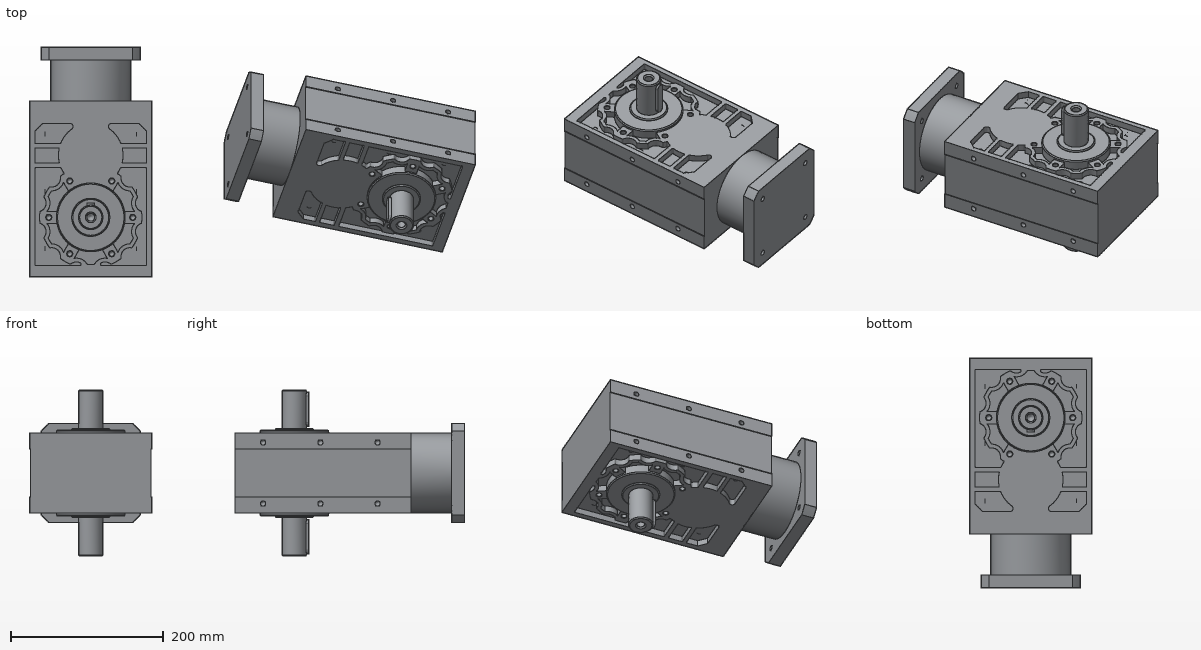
import cadquery as cq
import math


HOUSING_WIDTH = 160.0
HOUSING_LENGTH = 230.5
HOUSING_HEIGHT = 105.0
HOUSING_REAR = -78.0
HOUSING_FRONT = HOUSING_REAR + HOUSING_LENGTH
HOUSING_MIDDLE = HOUSING_REAR + HOUSING_LENGTH / 2
HOUSING_TOP = HOUSING_HEIGHT / 2
SIDE_RELIEF_DEPTH = 1.0
SIDE_RELIEF_HEIGHT = 63.0

NECK_DIAMETER = 105.0
FLANGE_FRONT = 223.0
FLANGE_THICKNESS = 17.0
FLANGE_BACK = FLANGE_FRONT - FLANGE_THICKNESS
FLANGE_SIZE = 130.0
FLANGE_CORNER_DIAMETER = 170.0
FLANGE_BOLT_CIRCLE = 130.0
FLANGE_BOLT_HOLE = 7.0
FLANGE_BOLT_COUNT = 4
FLANGE_BOLT_START_ANGLE = 45.0

SHAFT_DIAMETER = 32.0
SHAFT_END = 109.0
SHAFT_CHAMFER = 1.5
KEY_WIDTH = 10.0
KEY_LENGTH = 45.0
KEY_END_GAP = 3.0
KEY_TOP = 19.0
KEY_HEIGHT = 8.0
CENTRE_HOLE_DIAMETER = 10.2
CENTRE_SINK_DIAMETER = 14.0
CENTRE_HOLE_DEPTH = 28.0
COVER_RADIUS = 45.0
COVER_HEIGHT = 4.0
COLLAR_RADIUS = 25.0
COLLAR_HEIGHT = 2.0
COVER_CHAMFER = 1.5

TAP_DIAMETER = 6.8
TAP_MOUTH_DIAMETER = 8.0
DRILL_TIP_ANGLE = 118.0
COVER_BOLT_RADIUS = 55.0
COVER_BOLT_COUNT = 6
COVER_BOLT_DEPTH = 15.0
SIDE_HOLE_DEPTH = 20.0
SIDE_HOLE_HEIGHT = 40.0
SIDE_HOLE_PITCH = 75.0
SIDE_HOLE_MIDDLE = 34.0

POCKET_DEPTH = 9.0
POCKET_SIDE = 73.0
POCKET_FILLET = 1.0
REAR_POCKET = (-63.0, 65.0)
MIDDLE_POCKET = (71.0, 91.0)
FRONT_POCKET = (96.5, 123.0)
FRONT_POCKET_CHAMFER = 10.0
FRONT_POCKET_TIP_FILLET = 4.0
REAR_POCKET_GAP = 26.0
ISLAND_RADIUS = 42.3
ISLAND_CENTRE = 81.5
POCKET_FLOOR = HOUSING_TOP - POCKET_DEPTH

WALL_RADIUS = 67.0
WALL_THICKNESS = 5.0
SCALLOP_RADIUS = 11.5
SCALLOP_CENTRE_RADIUS = 72.4
SCALLOP_COUNT = 12
SPOKE_WIDTH = 16.0


def polar(radius, angle):
    """Point at a polar position about the shaft axis, angle in degrees."""
    return radius * math.cos(math.radians(angle)), radius * math.sin(math.radians(angle))


def pocket_disc(x, y, radius):
    """Upright disc that fills the pocket height."""
    return cq.Workplane("XY", origin=(x, y, POCKET_FLOOR)).circle(radius).extrude(POCKET_DEPTH)


def pocket_block(x_min, x_max, y_min, y_max):
    """Upright block that fills the pocket height."""
    block = cq.Workplane("XY").box(x_max - x_min, y_max - y_min, POCKET_DEPTH, centered=False)
    return block.translate((x_min, y_min, POCKET_FLOOR))


def scalloped_disc(radius, scallop_radius):
    """Disc around the shaft axis with a ring of scallops bitten from its rim."""
    disc = pocket_disc(0, 0, radius)
    for index in range(SCALLOP_COUNT):
        angle = (index + 0.5) * 360 / SCALLOP_COUNT
        disc = disc.cut(pocket_disc(*polar(SCALLOP_CENTRE_RADIUS, angle), scallop_radius))
    return disc


def revolved(points):
    """Body of revolution about Z from (radius, height) points."""
    return cq.Workplane("XZ").polyline(points).close().revolve(360, (0, 0, 0), (0, 1, 0))


def drilled_hole(diameter, depth):
    """Drill body along -Z from the origin, with a conical tip."""
    radius = diameter / 2
    tip = radius / math.tan(math.radians(DRILL_TIP_ANGLE / 2))
    return revolved([(0, 0), (radius, 0), (radius, -depth), (0, -depth - tip)])


def countersunk_hole(diameter, depth, mouth_diameter):
    """Drilled hole with a 90 degree countersink at its mouth."""
    mouth_radius = mouth_diameter / 2
    sink = revolved([(0, 0), (mouth_radius, 0), (0, -mouth_radius)])
    return drilled_hole(diameter, depth).union(sink)


def both_faces(body):
    """Body together with its mirror image on the -Z side."""
    return body.union(body.mirror("XY"))


def make_housing():
    """Block with a shallow relief along the middle of both sides."""
    housing = cq.Workplane("XY").box(HOUSING_WIDTH, HOUSING_LENGTH, HOUSING_HEIGHT)
    housing = housing.translate((0, HOUSING_MIDDLE, 0))
    relief = cq.Workplane("XY").box(2 * SIDE_RELIEF_DEPTH, HOUSING_LENGTH, SIDE_RELIEF_HEIGHT)
    for side in (-1, 1):
        housing = housing.cut(relief.translate((side * HOUSING_WIDTH / 2, HOUSING_MIDDLE, 0)))
    return housing


def make_input():
    """Round neck and square flange with turned corners and through bolt holes."""
    neck_length = FLANGE_BACK - HOUSING_FRONT
    neck = cq.Workplane("XZ", origin=(0, FLANGE_BACK, 0)).circle(NECK_DIAMETER / 2).extrude(neck_length)
    face = cq.Workplane("XZ", origin=(0, FLANGE_FRONT, 0))
    flange = face.rect(FLANGE_SIZE, FLANGE_SIZE).extrude(FLANGE_THICKNESS)
    flange = flange.intersect(face.circle(FLANGE_CORNER_DIAMETER / 2).extrude(FLANGE_THICKNESS))
    bolts = face.polarArray(FLANGE_BOLT_CIRCLE / 2, FLANGE_BOLT_START_ANGLE, 360, FLANGE_BOLT_COUNT)
    holes = bolts.circle(FLANGE_BOLT_HOLE / 2).extrude(FLANGE_THICKNESS)
    return neck.union(flange.cut(holes))


def make_side_pockets():
    """Three pockets on the -X half, outside the round island and the scalloped wall."""
    island = pocket_disc(0, ISLAND_CENTRE, ISLAND_RADIUS)

    rear = pocket_block(-POCKET_SIDE, -REAR_POCKET_GAP / 2, *REAR_POCKET).cut(island)
    rear = rear.cut(scalloped_disc(WALL_RADIUS, SCALLOP_RADIUS))
    rear = rear.edges("|Z").fillet(POCKET_FILLET)

    middle = pocket_block(-POCKET_SIDE, 0, *MIDDLE_POCKET).cut(island)
    middle = middle.edges("|Z").fillet(POCKET_FILLET)

    front = pocket_block(-POCKET_SIDE, 0, *FRONT_POCKET)
    front = front.edges("|Z and <X and >Y").chamfer(FRONT_POCKET_CHAMFER).cut(island)
    front = front.edges("|Z and >X").fillet(FRONT_POCKET_TIP_FILLET)
    front = front.edges("|Z and <Y").fillet(POCKET_FILLET)
    return rear.union(middle).union(front)


def make_wall_pockets():
    """Pockets between the cover seat and the scalloped wall, split by a spoke at each bolt."""
    pockets = scalloped_disc(WALL_RADIUS - WALL_THICKNESS, SCALLOP_RADIUS + WALL_THICKNESS)
    pockets = pockets.cut(pocket_disc(0, 0, COVER_RADIUS))
    spoke = pocket_block(0, WALL_RADIUS, -SPOKE_WIDTH / 2, SPOKE_WIDTH / 2)
    for index in range(COVER_BOLT_COUNT):
        pockets = pockets.cut(spoke.rotate((0, 0, 0), (0, 0, 1), index * 360 / COVER_BOLT_COUNT))
    input_sector = pockets.solids(">Y")
    return pockets.cut(input_sector)


def make_tapped_holes():
    """Cover bolt holes in the top face and mounting holes in both sides."""
    bolt_hole = countersunk_hole(TAP_DIAMETER, COVER_BOLT_DEPTH, TAP_MOUTH_DIAMETER)
    holes = cq.Workplane("XY")
    for index in range(COVER_BOLT_COUNT):
        x, y = polar(COVER_BOLT_RADIUS, index * 360 / COVER_BOLT_COUNT)
        holes = holes.add(bolt_hole.translate((x, y, HOUSING_TOP)))
    side_hole = drilled_hole(TAP_DIAMETER, SIDE_HOLE_DEPTH)
    for side in (-1, 1):
        turned = side_hole.rotate((0, 0, 0), (0, 1, 0), side * 90)
        for step in (-1, 0, 1):
            y = SIDE_HOLE_MIDDLE + step * SIDE_HOLE_PITCH
            holes = holes.add(turned.translate((side * HOUSING_WIDTH / 2, y, SIDE_HOLE_HEIGHT)))
    return holes.combine()


def make_output():
    """Bearing cover, collar and keyed shaft on the +Z side."""
    cover_top = HOUSING_TOP + COVER_HEIGHT
    cover = cq.Workplane("XY").circle(COVER_RADIUS).extrude(cover_top)
    cover = cover.faces(">Z").chamfer(COVER_CHAMFER)
    collar = cq.Workplane("XY").circle(COLLAR_RADIUS).extrude(cover_top + COLLAR_HEIGHT)
    collar = collar.faces(">Z").chamfer(COVER_CHAMFER)
    shaft = cq.Workplane("XY").circle(SHAFT_DIAMETER / 2).extrude(SHAFT_END)
    shaft = shaft.faces(">Z").chamfer(SHAFT_CHAMFER)

    key_middle = SHAFT_END - KEY_END_GAP - KEY_LENGTH / 2
    key = cq.Workplane("XZ", origin=(0, KEY_TOP, key_middle))
    key = key.slot2D(KEY_LENGTH, KEY_WIDTH, 90).extrude(KEY_HEIGHT)

    centre_hole = countersunk_hole(CENTRE_HOLE_DIAMETER, CENTRE_HOLE_DEPTH, CENTRE_SINK_DIAMETER)
    shaft = shaft.union(key).cut(centre_hole.translate((0, 0, SHAFT_END)))
    return cover.union(collar).union(shaft)


side_pockets = make_side_pockets()
pockets = side_pockets.union(side_pockets.mirror("YZ")).union(make_wall_pockets())
housing = make_housing().cut(both_faces(pockets)).cut(both_faces(make_tapped_holes()))
result = housing.union(make_input()).union(both_faces(make_output()))